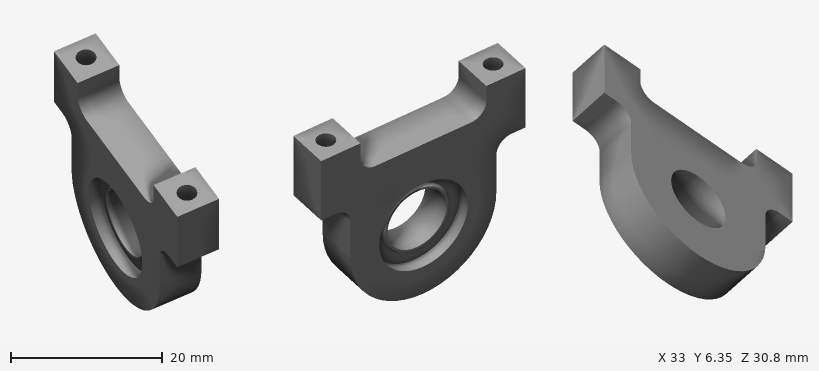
import cadquery as cq
import math

width = 33.02
thickness = 6.35
height = 30.8
body_radius = 11.8
lug_width = 6.35
lug_height = 10.2
notch_depth = 5.1
corner_radius = 2.48

bore_diameter = 9.55
seat_diameter = 14.3
seat_depth = 1.45
relief_diameter = 14.5
relief_width = 0.5
lip_top_diameter = 10.25
lip_base_diameter = 10.83

hole_diameter = 2.75
hole_spacing = 27.0
hole_depth = 7.25
drill_point_angle = 118.0

top = height - body_radius
lug_bottom = top - lug_height
notch_floor = top - notch_depth
notch_half_width = width / 2 - lug_width


def make_plate():
    """Round-ended plate with two lugs and a notch between them."""
    plate = (
        cq.Workplane("XZ")
        .moveTo(-body_radius, 0)
        .threePointArc((0, -body_radius), (body_radius, 0))
        .lineTo(body_radius, lug_bottom)
        .lineTo(width / 2, lug_bottom)
        .lineTo(width / 2, top)
        .lineTo(notch_half_width, top)
        .lineTo(notch_half_width, notch_floor)
        .lineTo(-notch_half_width, notch_floor)
        .lineTo(-notch_half_width, top)
        .lineTo(-width / 2, top)
        .lineTo(-width / 2, lug_bottom)
        .lineTo(-body_radius, lug_bottom)
        .close()
        .extrude(-thickness)
    )
    inner_corners = [
        (side * x, thickness / 2, z)
        for side in (-1, 1)
        for x, z in ((body_radius, lug_bottom), (notch_half_width, notch_floor))
    ]
    for corner in inner_corners:
        edge = plate.edges("|Y").edges(cq.NearestToPointSelector(corner))
        plate = plate.newObject(edge.vals()).fillet(corner_radius)
    return plate


def make_seat_cut():
    """Undercut seat and through bore, leaving a tapered lip around the bore."""
    floor_depth = seat_depth + relief_width
    return (
        cq.Workplane("XY")
        .polyline([
            (0, 0),
            (seat_diameter / 2, 0),
            (seat_diameter / 2, seat_depth),
            (relief_diameter / 2, seat_depth),
            (relief_diameter / 2, floor_depth),
            (lip_base_diameter / 2, floor_depth),
            (lip_top_diameter / 2, seat_depth),
            (bore_diameter / 2, seat_depth),
            (bore_diameter / 2, thickness),
            (0, thickness),
        ])
        .close()
        .revolve(360, (0, 0, 0), (0, 1, 0))
    )


def make_lug_hole(x):
    """Drilled blind hole with a conical end, entering from the lug top."""
    radius = hole_diameter / 2
    point_depth = radius / math.tan(math.radians(drill_point_angle / 2))
    return (
        cq.Workplane("XZ")
        .polyline([
            (0, 0),
            (radius, 0),
            (radius, -hole_depth),
            (0, -hole_depth - point_depth),
        ])
        .close()
        .revolve(360, (0, 0, 0), (0, 1, 0))
        .translate((x, thickness / 2, top))
    )


result = make_plate().cut(make_seat_cut())
for side in (-1, 1):
    result = result.cut(make_lug_hole(side * hole_spacing / 2))